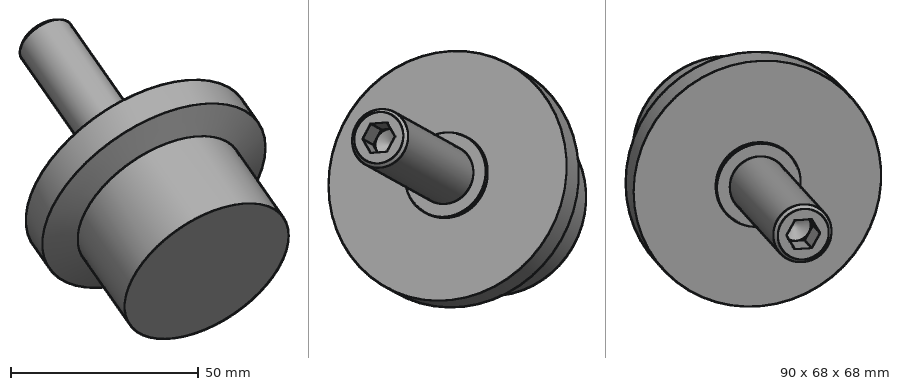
import cadquery as cq
import math

total_length = 90.0
stud_length = 50.0
collar_thickness = 1.6
disc_thickness = 9.2
cone_length = 3.2

stud_diameter = 16.0
collar_diameter = 23.0
disc_diameter = 68.0
body_diameter = 50.0

stud_chamfer = 1.0

socket_sides = 6
socket_across_flats = 8.0
socket_depth = 8.0
socket_cone_angle = 120.0

stud_end = 0.0
collar_start = stud_end + stud_length
disc_start = collar_start + collar_thickness
disc_end = disc_start + disc_thickness
cone_end = disc_end + cone_length
body_end = stud_end + total_length

turning_axis = ((0, 0, 0), (1, 0, 0))


def make_turned_body():
    """Stud, collar, flange disc and cylindrical body turned about the X axis."""
    stud_radius = stud_diameter / 2
    collar_radius = collar_diameter / 2
    disc_radius = disc_diameter / 2
    body_radius = body_diameter / 2
    profile = (
        cq.Workplane("XY")
        .moveTo(stud_end, 0)
        .lineTo(stud_end, stud_radius - stud_chamfer)
        .lineTo(stud_end + stud_chamfer, stud_radius)
        .lineTo(collar_start, stud_radius)
        .lineTo(collar_start, collar_radius)
        .lineTo(disc_start, collar_radius)
        .lineTo(disc_start, disc_radius)
        .lineTo(disc_end, disc_radius)
        .lineTo(cone_end, body_radius)
        .lineTo(body_end, body_radius)
        .lineTo(body_end, 0)
        .close()
    )
    return profile.revolve(360, *turning_axis)


def make_hex_socket():
    """Hexagonal recess with two corners along Y and a conical drill point at its floor."""
    across_corners = socket_across_flats / math.cos(math.pi / socket_sides)
    hexagon = (
        cq.Workplane("YZ", origin=(stud_end, 0, 0))
        .polygon(socket_sides, across_corners)
        .extrude(socket_depth)
    )
    point_radius = socket_across_flats / 2
    point_length = point_radius / math.tan(math.radians(socket_cone_angle / 2))
    socket_floor = stud_end + socket_depth
    drill_point = (
        cq.Workplane("XY")
        .moveTo(socket_floor, 0)
        .lineTo(socket_floor, point_radius)
        .lineTo(socket_floor + point_length, 0)
        .close()
        .revolve(360, *turning_axis)
    )
    return hexagon.union(drill_point)


result = make_turned_body().cut(make_hex_socket())